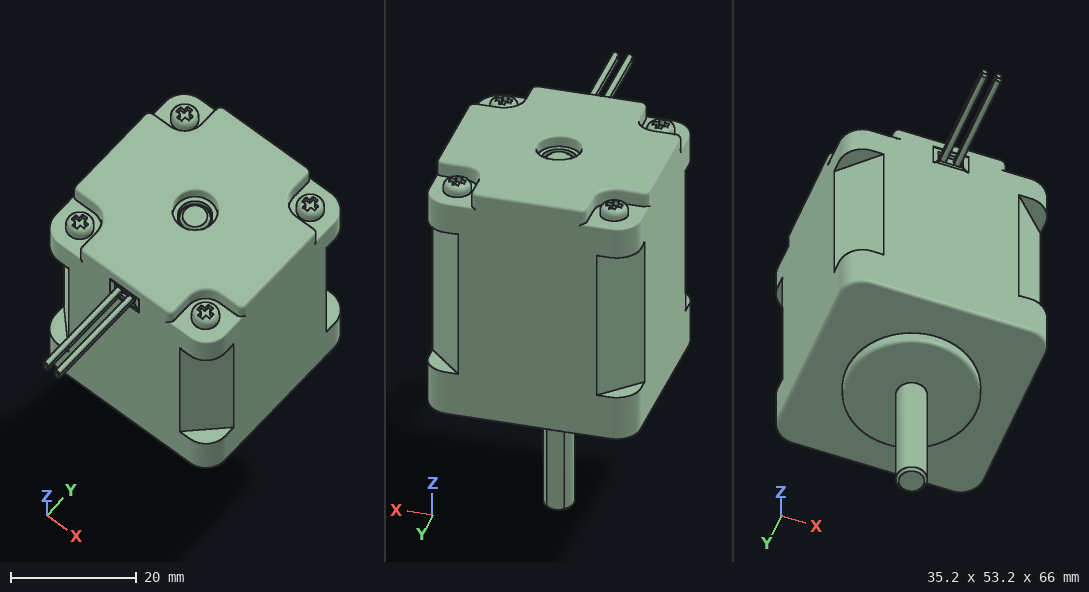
import cadquery as cq


body_width = 35.2
body_height = 41.85
cap_height = 8.0
corner_radius = 4.0
rim_fillet = 0.6
half_width = body_width / 2

plate_width = 23.0
plate_height = 30.0
plate_thickness = 1.0
plate_drop = 6.0
stator_chamfer = (body_width - plate_width) / 2

pocket_width = 8.05
pocket_depth = 2.65
pocket_corner_radius = 3.5
pocket_mouth_fillet = 1.0
ledge_fillet = 0.3
screw_spacing = 26.0
screw_head_diameter = 4.5
screw_head_height = 1.7
screw_head_fillet = 1.05
cross_length = 2.6
cross_slot_width = 1.0
cross_depth = 1.0

shaft_diameter = 5.0
shaft_reach = 24.15
shaft_tip_chamfer = 0.45
shaft_rear_chamfer = 0.5
flat_depth = 0.45
flat_length = 15.0
boss_diameter = 22.0
boss_height = 2.0
boss_fillet = 0.6
rear_bore_diameter = 7.2
rear_bore_depth = 2.0
rear_bore_fillet = 0.4
shaft_clearance_diameter = 5.55
shaft_clearance_depth = 1.0

connector_width = 6.1
connector_drop = 2.1
connector_recess = 0.1
ramp_bottom_width = 5.4
ramp_recess = 0.25
socket_width = 4.2
socket_height = 2.1
socket_recess = 0.8

lead_diameter = 1.0
lead_overlap = 0.03
lead_column_spacing = 2.4
lead_drop = 3.95
lead_reach = 18.0
lead_embed = 2.0


def square_corners(spacing):
    return [(x, y) for x in (-spacing / 2, spacing / 2) for y in (-spacing / 2, spacing / 2)]


def rounded_block(bottom, height):
    block = cq.Workplane("XY").workplane(offset=bottom).rect(body_width, body_width).extrude(height)
    return block.edges("|Z").fillet(corner_radius)


def block_on_front(width, bottom, top, depth):
    """Box reaching the given depth into the -Y face, centred on X."""
    block = cq.Workplane("XY").box(width, depth, top - bottom, centered=(True, False, False))
    return block.translate((0, -half_width, bottom))


def make_lower_cap():
    return rounded_block(0, cap_height).faces("<Z").edges().fillet(rim_fillet)


def make_stator():
    stator = cq.Workplane("XY").workplane(offset=cap_height).rect(body_width, body_width)
    stator = stator.extrude(body_height - 2 * cap_height)
    return stator.edges("|Z").chamfer(stator_chamfer)


def make_upper_cap():
    """Rounded ledge carrying a cross-shaped block that leaves the corner pockets open."""
    bottom = body_height - cap_height
    ledge = rounded_block(bottom, cap_height - pocket_depth).faces(">Z").edges().fillet(ledge_fillet)

    arm_width = body_width - 2 * pocket_width
    base = cq.Workplane("XY").workplane(offset=bottom)
    cross = base.rect(body_width, arm_width).extrude(cap_height)
    cross = cross.union(base.rect(arm_width, body_width).extrude(cap_height))
    inner_corner = arm_width / 2 + pocket_mouth_fillet
    inner_box = cq.selectors.BoxSelector(
        (-inner_corner, -inner_corner, bottom), (inner_corner, inner_corner, body_height)
    )
    cross = cross.edges("|Z").edges(inner_box).fillet(pocket_corner_radius)
    for side in ("<X", ">X", "<Y", ">Y"):
        cross = cross.faces(side).edges("|Z").fillet(pocket_mouth_fillet)
    cross = cross.faces(">Z").edges().fillet(rim_fillet)
    return ledge.union(cross)


def make_screw_heads():
    seat = body_height - pocket_depth
    corners = square_corners(screw_spacing)
    heads = cq.Workplane("XY").workplane(offset=seat).pushPoints(corners)
    heads = heads.circle(screw_head_diameter / 2).extrude(screw_head_height)
    heads = heads.faces(">Z").edges().fillet(screw_head_fillet)
    head_top = cq.Workplane("XY").workplane(offset=seat + screw_head_height).pushPoints(corners)
    for length, width in ((cross_length, cross_slot_width), (cross_slot_width, cross_length)):
        heads = heads.cut(head_top.rect(length, width).extrude(-cross_depth))
    return heads


def make_boss():
    boss = cq.Workplane("XY").circle(boss_diameter / 2).extrude(-boss_height)
    return boss.faces("<Z").edges().fillet(boss_fillet)


def make_shaft():
    """Output shaft with a flat on its +Y side."""
    shaft = cq.Workplane("XY").circle(shaft_diameter / 2).extrude(-shaft_reach)
    shaft = shaft.faces("<Z").edges().chamfer(shaft_tip_chamfer)
    flat = cq.Workplane("XY").box(
        shaft_diameter, shaft_diameter, flat_length, centered=(True, False, False)
    )
    return shaft.cut(flat.translate((0, shaft_diameter / 2 - flat_depth, -shaft_reach)))


def cut_rear_bore(body):
    """Stepped opening in the top face, with the chamfered rear end of the shaft inside."""
    floor = body_height - rear_bore_depth
    floor_plane = cq.Workplane("XY").workplane(offset=floor)
    body = body.cut(floor_plane.circle(rear_bore_diameter / 2).extrude(rear_bore_depth))
    mouth_box = cq.selectors.BoxSelector(
        (-rear_bore_diameter, -rear_bore_diameter, floor),
        (rear_bore_diameter, rear_bore_diameter, body_height + rear_bore_depth),
    )
    body = body.faces(">Z").edges(mouth_box).fillet(rear_bore_fillet)
    clearance = floor_plane.circle(shaft_clearance_diameter / 2).extrude(-shaft_clearance_depth)
    shaft_end = floor_plane.circle(shaft_diameter / 2).extrude(-shaft_clearance_depth)
    shaft_end = shaft_end.faces(">Z").edges().chamfer(shaft_rear_chamfer)
    return body.cut(clearance.cut(shaft_end))


def cut_connector(body):
    """Shallow connector face, the ramp at its foot and the socket for the leads."""
    top = body_height - connector_drop
    foot = body_height - plate_drop
    socket_middle = body_height - lead_drop
    socket_bottom = socket_middle - socket_height / 2
    body = body.cut(block_on_front(connector_width, foot, top, connector_recess))
    ramp = (
        cq.Workplane("XZ", origin=(0, -half_width, 0))
        .moveTo(-ramp_bottom_width / 2, foot)
        .lineTo(ramp_bottom_width / 2, foot)
        .lineTo(socket_width / 2, socket_bottom)
        .lineTo(-socket_width / 2, socket_bottom)
        .close()
        .extrude(-ramp_recess)
    )
    socket = block_on_front(socket_width, socket_bottom, socket_bottom + socket_height, socket_recess)
    return body.cut(ramp).cut(socket)


def make_leads():
    pitch = lead_diameter - lead_overlap
    middle = body_height - lead_drop
    leads = cq.Workplane("XY")
    for x in (-lead_column_spacing / 2, lead_column_spacing / 2):
        for z in (middle - pitch / 2, middle + pitch / 2):
            lead = cq.Workplane("XZ", origin=(x, lead_embed - half_width, z))
            leads = leads.union(lead.circle(lead_diameter / 2).extrude(lead_reach + lead_embed))
    return leads


def add_side_plates(body):
    """Plates flush with the four sides; their outlines stay as seams in the faces."""
    top = body_height - plate_drop
    plate = block_on_front(plate_width, top - plate_height, top, plate_thickness)
    for angle in (0, 90, 180, 270):
        body = body.union(plate.rotate((0, 0, 0), (0, 0, 1), angle), clean=False)
    return body


housing = make_lower_cap().union(make_stator()).union(make_upper_cap())
housing = cut_connector(cut_rear_bore(housing))
motor = housing.union(make_screw_heads()).union(make_boss()).union(make_shaft()).union(make_leads())
result = add_side_plates(motor)